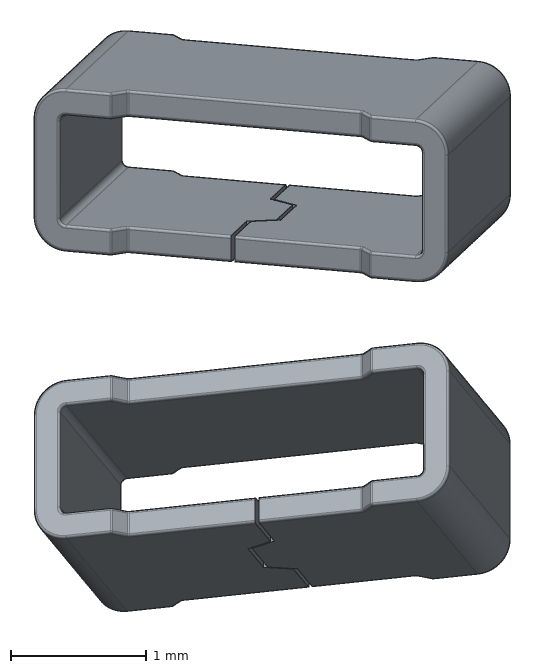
import cadquery as cq

length = 3.2
depth = 1.6
height = 1.25
wall = 0.2
bend_outer_radius = 0.25
bend_inner_radius = bend_outer_radius - wall

relief_depth = 0.1
relief_mouth_width = 2.0
relief_floor_width = relief_mouth_width - 2 * relief_depth

edge_radius = 0.02

seam_gap = 0.03
tongue_root_x = -0.105
tongue_tip_x = 0.095
tongue_tip_width = 0.4
tongue_root_width = 0.6


def rounded_bar(size_x, size_z, corner_radius):
    """Bar running the full depth along Y, with its four long edges rounded."""
    bar = cq.Workplane("XY").box(size_x, depth, size_z)
    return bar.edges("|Y").fillet(corner_radius)


def relief_cutter(side):
    """Trapezoidal prism through both walls at the end facing side * Y."""
    mouth_y = side * depth / 2
    floor_y = mouth_y - side * relief_depth
    outline = [
        (-relief_mouth_width / 2, mouth_y),
        (-relief_floor_width / 2, floor_y),
        (relief_floor_width / 2, floor_y),
        (relief_mouth_width / 2, mouth_y),
    ]
    return cq.Workplane("XY").polyline(outline).close().extrude(height / 2, both=True)


def seam_cutter():
    """Slit through the bottom wall between the tongue and the facing edge, seam_gap further along X."""
    tongue_edge = [
        (tongue_root_x, -depth / 2),
        (tongue_root_x, -tongue_root_width / 2),
        (tongue_tip_x, -tongue_tip_width / 2),
        (tongue_tip_x, tongue_tip_width / 2),
        (tongue_root_x, tongue_root_width / 2),
        (tongue_root_x, depth / 2),
    ]
    facing_edge = [(x + seam_gap, y) for x, y in reversed(tongue_edge)]
    bottom = cq.Workplane("XY", origin=(0, 0, -height / 2))
    return bottom.polyline(tongue_edge + facing_edge).close().extrude(wall)


body = rounded_bar(length, height, bend_outer_radius)
body = body.cut(rounded_bar(length - 2 * wall, height - 2 * wall, bend_inner_radius))

for side in (-1, 1):
    body = body.cut(relief_cutter(side))
relief_zone = cq.selectors.BoxSelector(
    (-relief_mouth_width / 2 - wall, -depth, -height),
    (relief_mouth_width / 2 + wall, depth, height),
)
body = body.edges("|Z").edges(relief_zone).fillet(edge_radius)

body = body.faces("|Z").edges("not |Y").fillet(edge_radius)

result = body.cut(seam_cutter())